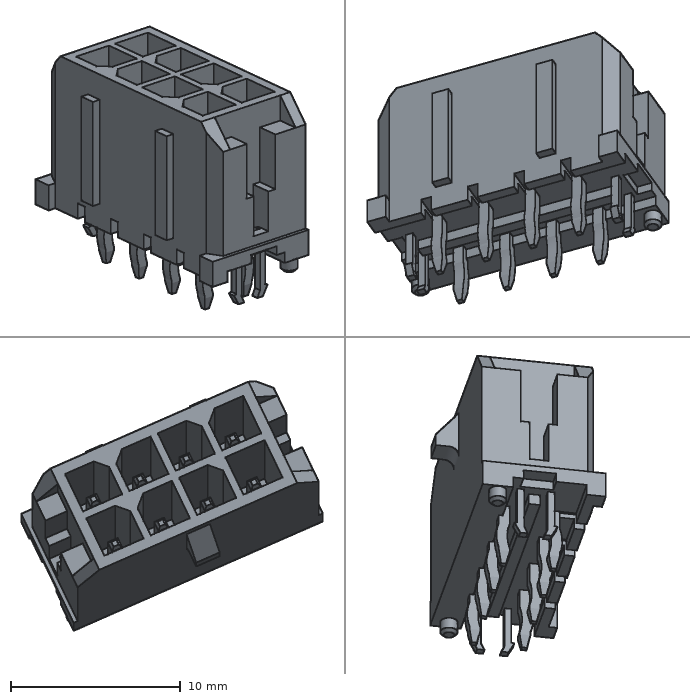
import cadquery as cq


base_length = 16.15
base_height = 1.62
housing_length = 15.63
housing_width = 6.88
housing_top = 9.9
shoulder_z = 8.28
mating_face_length = 12.82
corner_chamfer_x = 0.94
corner_chamfer_y = 0.52
front_y = -housing_width / 2
rear_y = housing_width / 2
end_x = housing_length / 2
core_end_x = mating_face_length / 2

front_projection = 0.52
foot_length = 1.2
rib_width = 1.05
rib_x = 3.36
front_limit_y = front_y - front_projection

guide_rear_y = 2.66
guide_front_y = -2.39
slot_width = 2.2
slot_floor_z = 4.78
key_width = 1.13
key_floor_z = 2.23

pitch = 3.0
column_count = 4
cavity_size = 2.54
cavity_chamfer = 0.68
cavity_floor_z = 2.23
pin_size = 0.65
pin_tip_size = 0.32
contact_top = 6.95
contact_taper = 0.32
bend_start_z = -0.52
bend_end_z = -2.25
bend_offset = 0.15
tail_taper_z = -2.4
tail_end_z = -3.2
tail_slot_top = 0.99

channel_front_y = -2.81
channel_rear_y = 1.6
channel_top = 0.68
keel_width = 0.68
clip_recess_width = 1.97
clip_recess_top = 1.25
clip_recess_depth = 0.94

clip_thickness = 0.47
clip_pocket_depth = 0.16
clip_tab_width = 0.84
clip_tab_thickness = 0.3
clip_outer_y = 1.11
clip_inner_y = 0.71
clip_bend_z = -1.89
clip_barb_z = -1.63
clip_barb_tip_z = -1.7
clip_barb_y = 1.3
clip_toe_outer_y = 0.94
clip_toe_inner_y = 0.5
clip_end_z = -2.34

peg_radius = 0.52
peg_length = 0.87
peg_chamfer = 0.2
peg_x = 7.51
peg_y = 2.42

latch_width = 1.52
latch_y = 4.81
latch_top = 9.35
latch_nose_top = 7.74
latch_bottom = 6.98
latch_fillet = 0.6


def block(x_range, y_range, z_range):
    """Box between the given limits."""
    (x0, x1), (y0, y1), (z0, z1) = x_range, y_range, z_range
    return cq.Workplane("XY").box(x1 - x0, y1 - y0, z1 - z0, centered=False).translate((x0, y0, z0))


def on_both_ends(shape):
    """A shape and its mirror image across the YZ plane."""
    return shape.union(shape.mirror("YZ"))


def make_shell():
    """Solid housing with sloped top ends and chamfered front corners."""
    front_outline = [
        (-end_x, 0),
        (end_x, 0),
        (end_x, shoulder_z),
        (core_end_x, housing_top),
        (-core_end_x, housing_top),
        (-end_x, shoulder_z),
    ]
    plan_outline = [
        (-end_x, rear_y),
        (end_x, rear_y),
        (end_x, front_y + corner_chamfer_y),
        (end_x - corner_chamfer_x, front_y),
        (corner_chamfer_x - end_x, front_y),
        (-end_x, front_y + corner_chamfer_y),
    ]
    side_shape = cq.Workplane("XZ").polyline(front_outline).close().extrude(housing_width / 2, both=True)
    plan_shape = cq.Workplane("XY").polyline(plan_outline).close().extrude(housing_top)
    base = block((-base_length / 2, base_length / 2), (front_y, rear_y), (0, base_height))
    return side_shape.intersect(plan_shape).union(base)


def make_front_details():
    """Corner foot and standing rib on the front, at both ends."""
    foot = block(
        (-base_length / 2, foot_length - base_length / 2), (front_limit_y, front_y), (0, base_height)
    )
    rib = block(
        (-rib_x - rib_width / 2, -rib_x + rib_width / 2), (front_limit_y, front_y), (base_height, shoulder_z)
    )
    return on_both_ends(foot.union(rib))


def make_latch():
    """Ramp on the rear face with a concave underside."""
    return (
        cq.Workplane("YZ")
        .moveTo(rear_y, latch_top)
        .lineTo(latch_y, latch_nose_top)
        .lineTo(latch_y, latch_bottom)
        .lineTo(rear_y + latch_fillet, latch_bottom)
        .radiusArc((rear_y, latch_bottom - latch_fillet), -latch_fillet)
        .close()
        .extrude(latch_width / 2, both=True)
    )


def make_guide_cuts():
    """Stepped guide channel in each end wall, with the clip pocket in its floor."""
    depth = (-end_x, -core_end_x)
    opening = block(depth, (guide_front_y, guide_rear_y), (shoulder_z, housing_top))
    slot = block(depth, (-slot_width / 2, slot_width / 2), (slot_floor_z, housing_top))
    key = block(depth, (-key_width / 2, key_width / 2), (key_floor_z, housing_top))
    pocket_z = (key_floor_z - clip_pocket_depth, key_floor_z)
    clip_face_x = -core_end_x - clip_thickness
    pocket = block((clip_face_x, -core_end_x), (-key_width / 2, key_width / 2), pocket_z)
    tab = block(
        (clip_face_x - clip_tab_thickness, clip_face_x), (-clip_tab_width / 2, clip_tab_width / 2), pocket_z
    )
    return on_both_ends(opening.union(slot).union(key).union(pocket).union(tab))


def make_cavity(x, y, keyed_side):
    """Square contact cavity; keyed_side is -1 or 1 for a bevelled front corner, 0 for none."""
    height = housing_top - cavity_floor_z
    cavity = cq.Workplane("XY").box(cavity_size, cavity_size, height, centered=(True, True, False))
    if keyed_side:
        corner = "<X and <Y" if keyed_side < 0 else ">X and <Y"
        cavity = cavity.edges("|Z").edges(corner).chamfer(cavity_chamfer)
    return cavity.translate((x, y, cavity_floor_z))


def make_contact(x, row_side):
    """Square pin with a pointed top and a tail that bows away from the other row."""
    y = row_side * pitch / 2
    half = pin_size / 2
    bend_middle = (bend_start_z + bend_end_z) / 2
    bow = row_side * bend_offset
    contact = (
        cq.Workplane("YZ")
        .workplane(offset=x - half)
        .moveTo(y - half, contact_top - contact_taper)
        .lineTo(y - half, bend_start_z)
        .threePointArc((y - half + bow, bend_middle), (y - half, bend_end_z))
        .lineTo(y - half, tail_taper_z)
        .lineTo(y + half, tail_taper_z)
        .lineTo(y + half, bend_end_z)
        .threePointArc((y + half + bow, bend_middle), (y + half, bend_start_z))
        .lineTo(y + half, contact_top - contact_taper)
        .close()
        .extrude(pin_size)
    )
    for start_z, end_z in ((contact_top - contact_taper, contact_top), (tail_taper_z, tail_end_z)):
        point = (
            cq.Workplane("XY")
            .workplane(offset=start_z)
            .center(x, y)
            .rect(pin_size, pin_size)
            .workplane(offset=end_z - start_z)
            .rect(pin_tip_size, pin_tip_size)
            .loft()
        )
        contact = contact.union(point)
    return contact


def make_underside_cuts():
    """Lengthwise channel around a central keel, and a clip recess in each end."""
    channel = block(
        (-base_length / 2, base_length / 2), (channel_front_y, channel_rear_y), (0, channel_top)
    )
    keel = block((-core_end_x, core_end_x), (-keel_width / 2, keel_width / 2), (0, channel_top))
    recess = block(
        (-base_length / 2, clip_recess_depth - base_length / 2),
        (-clip_recess_width / 2, clip_recess_width / 2),
        (0, clip_recess_top),
    )
    return channel.cut(keel).union(on_both_ends(recess))


def make_board_clips():
    """Two barbed legs at each end, toes turned toward the middle."""
    leg_outline = [
        (clip_outer_y, channel_top),
        (clip_outer_y, clip_barb_z),
        (clip_barb_y, clip_barb_tip_z),
        (clip_toe_outer_y, clip_end_z),
        (clip_toe_inner_y, clip_end_z),
        (clip_inner_y, clip_bend_z),
        (clip_inner_y, channel_top),
    ]
    plane = cq.Workplane("YZ").workplane(offset=core_end_x)
    leg = plane.polyline(leg_outline).close().extrude(clip_thickness)
    return on_both_ends(leg.union(leg.mirror("XZ")))


def make_pegs():
    """Round locating peg with a chamfered tip under each rear corner."""
    peg = cq.Workplane("XY").circle(peg_radius).extrude(-peg_length).faces("<Z").chamfer(peg_chamfer)
    return on_both_ends(peg.translate((peg_x, peg_y, 0)))


column_x = [(column - (column_count - 1) / 2) * pitch for column in range(column_count)]
rear_keys = (0, -1, 1, -1)
front_keys = (1, -1, 1, -1)

body = make_shell().union(make_front_details()).union(make_latch())
body = body.cut(make_guide_cuts()).cut(make_underside_cuts())

for x, rear_key, front_key in zip(column_x, rear_keys, front_keys):
    tail_slot = block((x - pin_size / 2, x + pin_size / 2), (front_y, -pitch / 2), (0, tail_slot_top))
    body = body.cut(make_cavity(x, pitch / 2, rear_key)).cut(make_cavity(x, -pitch / 2, front_key))
    body = body.cut(tail_slot)
    body = body.union(make_contact(x, 1)).union(make_contact(x, -1))

result = body.union(make_board_clips()).union(make_pegs())